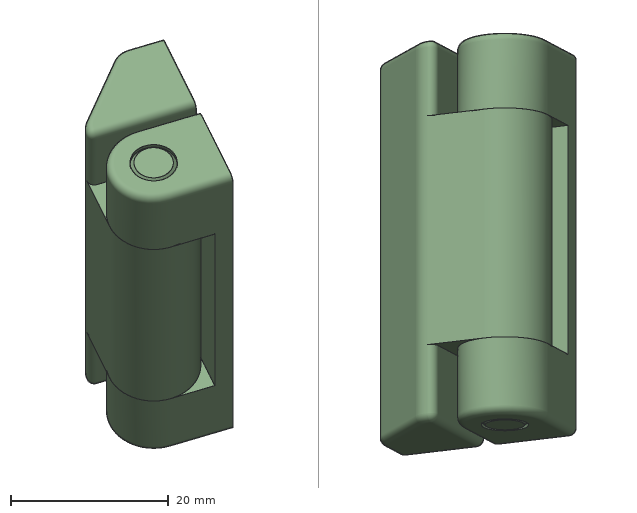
import cadquery as cq
import math

length = 50.0
width = 25.0
gap = 1.0
leaf_width = (width - gap) / 2
depth = 14.5
edge_radius = 1.0

barrel_radius = leaf_width / 2
barrel_x = width - barrel_radius
barrel_y = barrel_radius
barrel_back = 2 * barrel_radius
knuckle_bottom = 10.0
knuckle_length = length - 2 * knuckle_bottom
pin_radius = 3.0
pin_chamfer = 0.5
root_radius = 1.0

corner_radius = 3.0
side_arc_y = 9.85
front_arc_x = leaf_width - edge_radius


def fixed_leaf_plate():
    """Leaf with a sloped outer face, rounded on all but its mounting edges."""
    side_center_x = corner_radius
    front_center_y = corner_radius
    slope = math.atan2(side_arc_y - front_center_y, front_arc_x - side_center_x)

    def arc_point(center_x, center_y, angle):
        """Point on a corner arc, with the angle measured from -Y toward -X."""
        return (
            center_x - corner_radius * math.sin(angle),
            center_y - corner_radius * math.cos(angle),
        )

    side_mid = arc_point(side_center_x, side_arc_y, (slope + math.pi / 2) / 2)
    slope_start = arc_point(side_center_x, side_arc_y, slope)
    slope_end = arc_point(front_arc_x, front_center_y, slope)
    front_mid = arc_point(front_arc_x, front_center_y, slope / 2)
    plate = (
        cq.Workplane("XY")
        .moveTo(0, depth)
        .lineTo(0, side_arc_y)
        .threePointArc(side_mid, slope_start)
        .lineTo(*slope_end)
        .threePointArc(front_mid, (front_arc_x, 0))
        .radiusArc((leaf_width, edge_radius), -edge_radius)
        .lineTo(leaf_width, depth)
        .close()
        .extrude(length)
    )
    end_edges = plate.faces("<Z or >Z").edges("not >Y")
    return end_edges.fillet(edge_radius)


def center_knuckle():
    """Middle knuckle of the fixed leaf, with a concave root at its back."""
    return (
        cq.Workplane("XY", origin=(0, 0, knuckle_bottom))
        .moveTo(front_arc_x, 0)
        .lineTo(barrel_x, 0)
        .threePointArc((width, barrel_y), (barrel_x, barrel_back))
        .lineTo(leaf_width + root_radius, barrel_back)
        .radiusArc((leaf_width, barrel_back + root_radius), root_radius)
        .lineTo(front_arc_x, barrel_back + root_radius)
        .close()
        .extrude(knuckle_length)
    )


def pin_bore():
    return cq.Workplane("XY").center(barrel_x, barrel_y).circle(pin_radius).extrude(length)


def make_fixed_leaf():
    return fixed_leaf_plate().union(center_knuckle()).cut(pin_bore())


def make_swing_leaf():
    """Round-nosed leaf with two end knuckles joined by a web along the back."""
    leaf = (
        cq.Workplane("XY")
        .moveTo(width - leaf_width, depth)
        .lineTo(width - leaf_width, barrel_y)
        .threePointArc((barrel_x, 0), (width, barrel_y))
        .lineTo(width, depth)
        .close()
        .extrude(length)
    )
    leaf = leaf.faces("<Z or >Z").edges("not >Y").fillet(edge_radius)
    knuckle_space = (
        cq.Workplane("XY", origin=(0, 0, knuckle_bottom))
        .rect(width, barrel_back, centered=False)
        .extrude(knuckle_length)
    )
    return leaf.cut(knuckle_space).cut(pin_bore())


def make_pin():
    """Full-length pin with chamfered ends, flush with the leaf ends."""
    return pin_bore().faces("<Z or >Z").edges().chamfer(pin_chamfer)


fixed_leaf = make_fixed_leaf()
swing_leaf = make_swing_leaf()
pin = make_pin()

result = cq.Compound.makeCompound([fixed_leaf.val(), swing_leaf.val(), pin.val()])